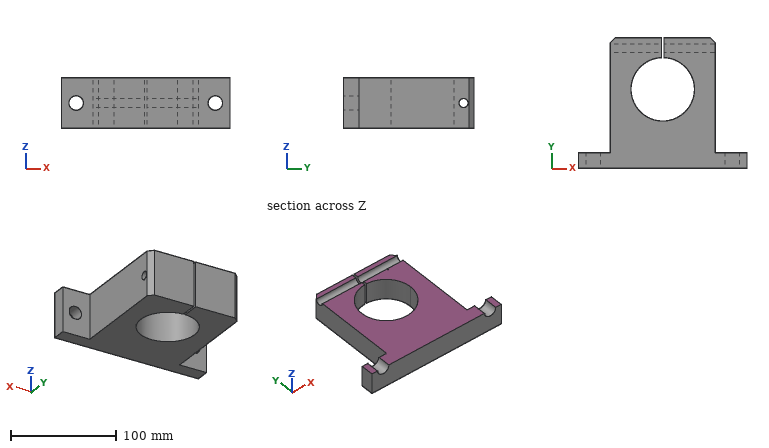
import cadquery as cq

flange_length = 160.0
flange_thickness = 15.0
height = 48.0
mount_hole_diameter = 13.5
mount_hole_spacing = 132.0

depth = 124.0
block_width = 100.0
corner_chamfer = 5.0

bore_diameter = 60.0
bore_center_y = 75.0
slit_width = 2.0
screw_hole_diameter = 8.4
screw_hole_edge_distance = 10.0

mid_height = height / 2


def make_flange():
    """Flat mounting bar with its outer face at Y = 0."""
    return cq.Workplane("XY").box(flange_length, flange_thickness, height, centered=(True, False, False))


def make_block():
    """Clamp block with its two far vertical edges chamfered."""
    block = cq.Workplane("XY").box(block_width, depth, height, centered=(True, False, False))
    return block.faces(">Y").edges("|Z").chamfer(corner_chamfer)


def make_bore():
    """Vertical shaft bore through the block."""
    return cq.Workplane("XY").center(0, bore_center_y).circle(bore_diameter / 2).extrude(height)


def make_slit():
    """Slit from the bore centre out through the far face."""
    slit_length = depth - bore_center_y
    return (
        cq.Workplane("XY")
        .box(slit_width, slit_length, height, centered=(True, False, False))
        .translate((0, bore_center_y, 0))
    )


def make_mount_holes():
    """Two through holes along Y, one in each flange ear."""
    half_spacing = mount_hole_spacing / 2
    return (
        cq.Workplane("XZ")
        .pushPoints([(-half_spacing, mid_height), (half_spacing, mid_height)])
        .circle(mount_hole_diameter / 2)
        .extrude(-flange_thickness)
    )


def make_screw_hole():
    """Clamp screw hole along X, crossing the slit."""
    return (
        cq.Workplane("YZ")
        .center(depth - screw_hole_edge_distance, mid_height)
        .circle(screw_hole_diameter / 2)
        .extrude(block_width / 2, both=True)
    )


result = make_flange().union(make_block())
for cutter in (make_bore(), make_slit(), make_mount_holes(), make_screw_hole()):
    result = result.cut(cutter)